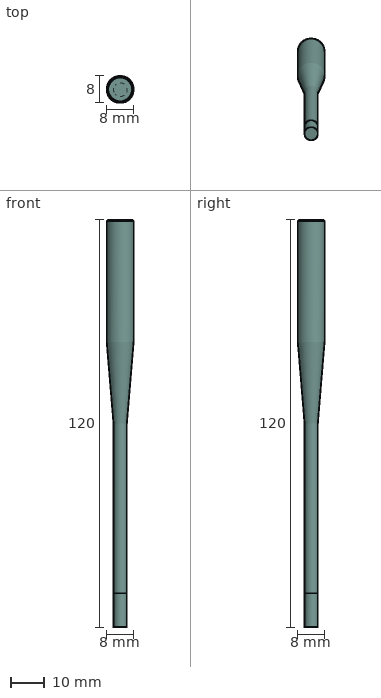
import cadquery as cq

total_length = 120.0
shank_diameter = 8.0
shank_length = 36.0
shank_chamfer = 0.5

tip_diameter = 4.0
tip_length = 10.0
neck_diameter = tip_diameter
reach = 60.0

neck_top = reach
shank_bottom = total_length - shank_length


def make_holder():
    """Neck, cone and chamfered shank, turned as one body."""
    neck_radius = neck_diameter / 2
    shank_radius = shank_diameter / 2
    return (
        cq.Workplane("XZ")
        .moveTo(0, tip_length)
        .lineTo(neck_radius, tip_length)
        .lineTo(neck_radius, neck_top)
        .lineTo(shank_radius, shank_bottom)
        .lineTo(shank_radius, total_length - shank_chamfer)
        .lineTo(shank_radius - shank_chamfer, total_length)
        .lineTo(0, total_length)
        .close()
        .revolve(360, (0, 0), (0, 1))
    )


def make_tip():
    """Plain cylindrical cutting tip, seated against the end of the neck."""
    return cq.Workplane("XY").circle(tip_diameter / 2).extrude(tip_length)


holder = make_holder()
tip = make_tip()

result = cq.Compound.makeCompound([holder.val(), tip.val()])